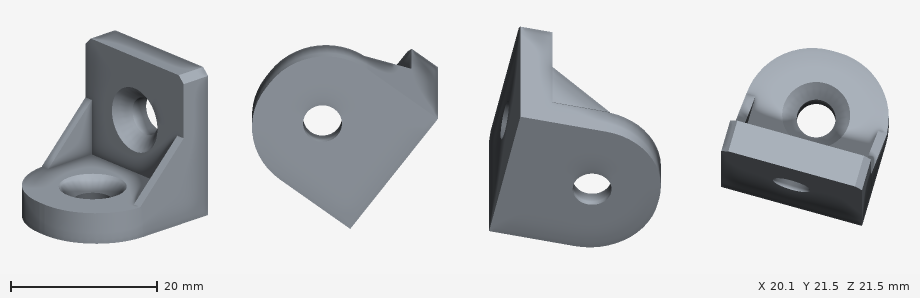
import cadquery as cq

width = 20.0
length = 21.5
height = 21.5
plate_thickness = 4.5

front_flat = 0.99
corner_radius = (width - front_flat) / 2

top_chamfer = 1.0

rib_thickness = 1.31
rib_overhang = 0.06
rib_leg = 8.02

hole_diameter = 5.3
sink_diameter = 9.29
sink_angle = 90.0
hole_offset = 12.21

back_y = length / 2
wall_y = back_y - plate_thickness


def make_base():
    base = cq.Workplane("XY").box(width, length, plate_thickness, centered=(True, True, False))
    return base.edges("|Z and <Y").fillet(corner_radius)


def make_upright():
    upright = (
        cq.Workplane("XY")
        .box(width, plate_thickness, height, centered=(True, False, False))
        .translate((0, wall_y, 0))
    )
    return upright.edges("|Y and >Z").chamfer(top_chamfer)


def make_rib(start_x):
    return (
        cq.Workplane("YZ", origin=(start_x, wall_y, plate_thickness))
        .polyline([(0, 0), (-rib_leg, 0), (0, rib_leg)])
        .close()
        .extrude(rib_thickness)
    )


def drill_countersunk(body, face_plane):
    return body.copyWorkplane(face_plane).cskHole(hole_diameter, sink_diameter, sink_angle, plate_thickness)


bracket = make_base().union(make_upright())
for start_x in (-width / 2 - rib_overhang, width / 2 - rib_thickness):
    bracket = bracket.union(make_rib(start_x))

base_hole_plane = cq.Workplane("XY", origin=(0, back_y - hole_offset, plate_thickness))
upright_hole_plane = cq.Workplane("XZ", origin=(0, wall_y, hole_offset))
for face_plane in (base_hole_plane, upright_hole_plane):
    bracket = drill_countersunk(bracket, face_plane)

result = bracket